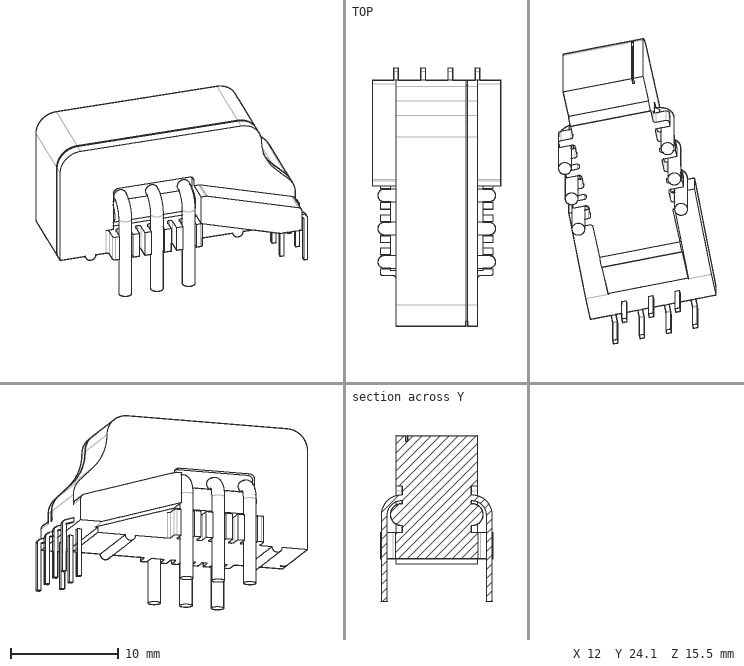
import cadquery as cq
import math


body_width = 7.65
body_length = 23.0
body_height = 11.5
crown_length = 19.7
crown_radius = 2.0
concave_radius = 4.6
nose_radius = 2.0
nose_underside = 0.5
nose_step_y = 20.6

groove_x = 2.8
groove_width = 0.16
groove_depth = 0.5

foot_radius = 0.5
foot_positions = (3.0, 17.4)

overall_width = 12.0
wing_inner_y = 13.1
wing_slope_end_y = 13.65
wing_top = 5.83
wing_inner_bottom = 2.95
wing_slope = math.radians(17.5)
wing_edge_radius = 0.5

pin_pitch = 2.54
pin_width = 0.45
pin_thickness = 0.38
pin_bottom = -4.0
inner_pin_y = 22.04
outer_pin_y = 23.95
bend_radius = 0.26
outer_pin_exit_z = 1.0
pin_embedment = 1.0

wire_diameter = 1.2
wire_x = 4.9
wire_pitch = 3.1
wire_middle_y = 9.13
wire_bend_radius = 1.6
wire_bend_z = 4.1
window_start_y = 5.2
window_depth = 0.6
window_top = 6.84
window_corner_radius = 0.5
core_radius = 1.03
core_z = 4.13

clip_height = 2.47
clip_tip_x = 5.27
clip_width = 2.59
clip_slot_width = 1.3
clip_tip_radius = 0.25
clip_root_radius = 0.24

half_body = body_width / 2
window_floor_x = half_body - window_depth
bend_center_x = wire_x - wire_bend_radius
wire_positions = [wire_middle_y + i * wire_pitch for i in (-1, 0, 1)]


def arc_point(center, radius, degrees):
    """Point on a circle at the given angle from its first axis."""
    angle = math.radians(degrees)
    return (center[0] + radius * math.cos(angle), center[1] + radius * math.sin(angle))


def housing_outline(x):
    """Closed side outline of the housing in the YZ plane at the given X."""
    shoulder_z = body_height - crown_radius
    front_crown = (crown_radius, shoulder_z)
    rear_crown = (crown_length - crown_radius, shoulder_z)
    hollow = (crown_length + concave_radius, shoulder_z)
    hollow_end = arc_point(hollow, concave_radius, 225)
    nose_start_y = body_length - nose_radius * (1 - math.cos(math.radians(45)))
    nose_start_z = hollow_end[1] - (nose_start_y - hollow_end[0])
    nose_z = nose_start_z - nose_radius * math.sin(math.radians(45))
    nose = (body_length - nose_radius, nose_z)
    return (
        cq.Workplane("YZ", origin=(x, 0, 0))
        .moveTo(0, 0)
        .lineTo(0, shoulder_z)
        .threePointArc(arc_point(front_crown, crown_radius, 135), (crown_radius, body_height))
        .lineTo(rear_crown[0], body_height)
        .threePointArc(arc_point(rear_crown, crown_radius, 45), (crown_length, shoulder_z))
        .threePointArc(arc_point(hollow, concave_radius, 202.5), hollow_end)
        .lineTo(nose_start_y, nose_start_z)
        .threePointArc(arc_point(nose, nose_radius, 22.5), (body_length, nose_z))
        .lineTo(body_length, nose_underside)
        .lineTo(nose_step_y, nose_underside)
        .lineTo(nose_step_y, 0)
        .close()
    )


def make_housing():
    """Housing block with its seam groove, which leaves the underside whole."""
    start_x = groove_x - groove_width / 2
    core = housing_outline(start_x).offset2D(-groove_depth).extrude(groove_width)
    base_length = body_length - 2 * groove_depth
    base_height = nose_underside + groove_depth
    base = (
        cq.Workplane("XY")
        .box(groove_width, base_length, base_height, centered=False)
        .translate((start_x, groove_depth, 0))
    )
    groove = housing_outline(start_x).extrude(groove_width).cut(core).cut(base)
    return housing_outline(-half_body).extrude(body_width).cut(groove)


def make_feet():
    """Round bars across the underside."""
    return (
        cq.Workplane("YZ", origin=(-half_body, 0, 0))
        .pushPoints([(y, 0) for y in foot_positions])
        .circle(foot_radius)
        .extrude(body_width)
    )


def make_wings():
    """Sloping bar across the housing that stands out as a wing on both sides."""
    tip_top = wing_top - (body_length - wing_slope_end_y) * math.tan(wing_slope)
    slope_start_y = wing_inner_y + (wing_inner_bottom - nose_underside) / math.tan(wing_slope)
    bar = (
        cq.Workplane("YZ", origin=(-overall_width / 2, 0, 0))
        .moveTo(wing_inner_y, wing_inner_bottom)
        .lineTo(wing_inner_y, wing_top)
        .lineTo(wing_slope_end_y, wing_top)
        .lineTo(body_length, tip_top)
        .lineTo(body_length, nose_underside)
        .lineTo(slope_start_y, nose_underside)
        .close()
        .extrude(overall_width)
    )
    for edge_point in ((0, wing_slope_end_y, wing_top), (0, body_length, tip_top)):
        bar = bar.edges(cq.NearestToPointSelector(edge_point)).fillet(wing_edge_radius)
    return bar


def make_straight_pin(x):
    """Pin that drops straight out of the nose underside."""
    length = nose_underside + pin_embedment - pin_bottom
    section = cq.Workplane("XY", origin=(x, inner_pin_y, pin_bottom)).rect(pin_width, pin_thickness)
    return section.extrude(length)


def make_bent_pin(x):
    """Pin that slopes out of the nose and bends straight down."""
    corner_z = outer_pin_exit_z - (outer_pin_y - body_length) * math.tan(wing_slope)
    turn = math.pi / 2 - wing_slope
    tangent = bend_radius * math.tan(turn / 2)
    run = outer_pin_y - body_length + pin_embedment
    bend_end_y = outer_pin_y - tangent * math.cos(wing_slope)
    bend_end_z = corner_z + tangent * math.sin(wing_slope)
    path = (
        cq.Workplane("YZ", origin=(x, 0, 0))
        .moveTo(outer_pin_y, pin_bottom)
        .lineTo(outer_pin_y, corner_z - tangent)
        .tangentArcPoint((bend_end_y, bend_end_z), relative=False)
        .lineTo(outer_pin_y - run, corner_z + run * math.tan(wing_slope))
    )
    section = cq.Workplane("XY", origin=(x, outer_pin_y, pin_bottom)).rect(pin_width, pin_thickness)
    return section.sweep(path)


def make_window():
    """Recess in the -X side of the housing, open towards the wires."""
    length = wing_inner_y - window_start_y
    height = window_top - clip_height
    return (
        cq.Workplane("XY")
        .box(window_depth, length, height, centered=False)
        .edges("|X and >Z")
        .fillet(window_corner_radius)
        .translate((-half_body, window_start_y, clip_height))
    )


def make_core():
    """Rod along Y, partly sunk in the window floor."""
    length = wing_inner_y - window_start_y
    center = (-bend_center_x, window_start_y, core_z)
    return cq.Workplane("XZ", origin=center).circle(core_radius).extrude(-length)


def make_wire(y):
    """Wire that rises from below and bends over into the window floor."""
    bend_center = (-bend_center_x, wire_bend_z)
    bend_top = wire_bend_z + wire_bend_radius
    path = (
        cq.Workplane("XZ", origin=(0, y, 0))
        .moveTo(-wire_x, pin_bottom)
        .lineTo(-wire_x, wire_bend_z)
        .threePointArc(arc_point(bend_center, wire_bend_radius, 135), (-bend_center_x, bend_top))
        .lineTo(-window_floor_x, bend_top)
    )
    section = cq.Workplane("XY", origin=(-wire_x, y, pin_bottom)).circle(wire_diameter / 2)
    return section.sweep(path)


def make_clip_opening(y, width):
    """Slot between two clip prongs, reaching the housing, with rounded roots."""
    return (
        cq.Workplane("XY")
        .box(clip_tip_x - half_body, width, clip_height, centered=(False, True, False))
        .edges("|Z and >X")
        .fillet(clip_root_radius)
        .translate((-clip_tip_x, y, 0))
    )


def make_clips():
    """Row of forked clips on the -X side, one around each wire."""
    row_length = 2 * wire_pitch + clip_width
    row = (
        cq.Workplane("XY")
        .box(clip_tip_x - half_body, row_length, clip_height, centered=(False, True, False))
        .edges("|Z and <X")
        .fillet(clip_tip_radius)
        .translate((-clip_tip_x, wire_middle_y, 0))
    )
    flare_x = -half_body - clip_root_radius
    flare_length = row_length + 2 * clip_root_radius
    flare = (
        cq.Workplane("XY")
        .box(clip_root_radius, flare_length, clip_height, centered=(False, True, False))
        .translate((flare_x, wire_middle_y, 0))
    )
    for side in (-1, 1):
        rounding_center = (flare_x, wire_middle_y + side * flare_length / 2, 0)
        rounding = cq.Workplane("XY", origin=rounding_center).circle(clip_root_radius)
        flare = flare.cut(rounding.extrude(clip_height))
    clips = row.union(flare)
    for y in wire_positions:
        clips = clips.cut(make_clip_opening(y, clip_slot_width))
    for i in (-0.5, 0.5):
        clips = clips.cut(make_clip_opening(wire_middle_y + i * wire_pitch, wire_pitch - clip_width))
    return clips


def make_side():
    """Core, wires and clips of the -X side."""
    side = make_core().union(make_clips())
    for y in wire_positions:
        side = side.union(make_wire(y))
    return side


result = make_housing().union(make_feet()).union(make_wings())
window = make_window()
result = result.cut(window).cut(window.mirror("YZ"))
side = make_side()
result = result.union(side).union(side.mirror("YZ"))
for i in (-1.5, -0.5, 0.5, 1.5):
    result = result.union(make_bent_pin(i * pin_pitch))
for i in (-1, 0, 1):
    result = result.union(make_straight_pin(i * pin_pitch))